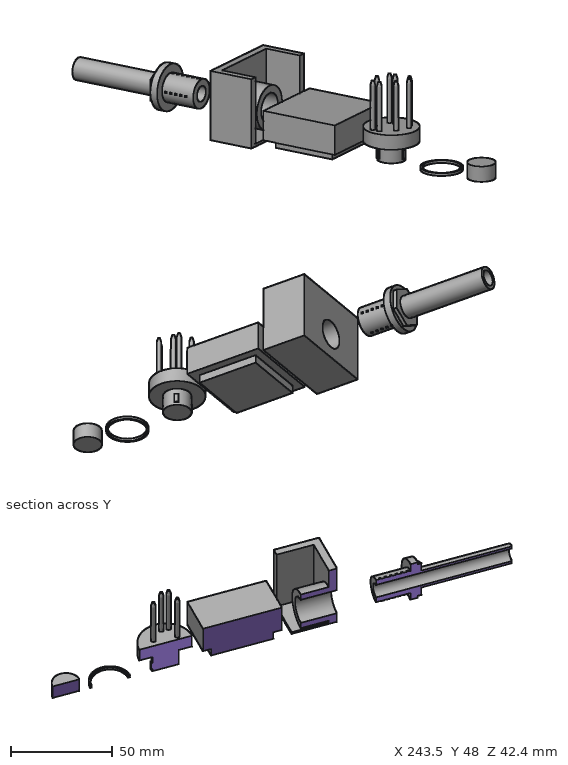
import cadquery as cq
total_length = 243.5
total_height = 42.4
axis_height = 13.6

tube_diameter = 11.7
tube_length = 48.0
bore_diameter = 8.0
hexagon_across_flats = 18.5
hexagon_thickness = 2.0
flange_diameter = 24.0
flange_thickness = 4.0
barrel_diameter = 15.0
barrel_length = 18.3
first_tooth_offset = 0.85
tooth_width = 0.7
tooth_length = 1.0
tooth_height = 0.2
tooth_count = 22
teeth_per_turn = 4
thread_pitch = 3.0

bracket_x = 92.7
bracket_length = 24.0
bracket_width = 48.0
bracket_height = 36.0
end_wall = 4.5
side_wall = 4.0
floor_thickness = 1.5
boss_diameter = 23.0
boss_length = 14.8
bracket_hole_diameter = 15.0

block_x = 122.0
block_size = 41.9
block_height = 15.3
foot_size = 33.0
foot_height = 4.5

base_x = 183.5
base_diameter = 28.0
base_thickness = 7.5
plug_diameter = 14.0
plug_height = 9.5
ear_count = 3
ear_width = 2.2
ear_height = 4.6
ear_bottom = 1.5
ear_projection = 0.7
pin_diameter = 2.5
pin_tip_diameter = 1.2
pin_tip_length = 2.2
pin_offsets = [
    (-4.1, 4.6),
    (-1.0, 4.9),
    (6.5, 6.3),
    (8.3, 3.2),
    (-7.0, -2.2),
    (5.0, -3.7),
    (-5.0, -9.0),
    (-1.2, -9.0),
]

ring_x = 213.0
ring_outer_diameter = 21.2
ring_inner_diameter = 19.2
ring_height = 1.5
disc_diameter = 14.0
disc_height = 8.0
disc_x = total_length - disc_diameter / 2


def cylinder_along_x(start, length, diameter):
    """Solid cylinder on the connector axis."""
    plane = cq.Workplane("YZ", origin=(start, 0, axis_height))
    return plane.circle(diameter / 2).extrude(length)


def box_on(x, y_size, z, length, height):
    """Box that starts at x and z and is centred on Y = 0."""
    return cq.Workplane("XY").box(length, y_size, height, centered=(False, True, False)).translate((x, 0, z))


def upright_cylinder(x, y, z, diameter, height):
    """Solid cylinder that stands at the given height."""
    return cq.Workplane("XY", origin=(x, y, z)).circle(diameter / 2).extrude(height)


def make_connector():
    flange_start = tube_length + hexagon_thickness
    barrel_start = flange_start + flange_thickness
    connector_length = barrel_start + barrel_length

    hexagon = (
        cq.Workplane("YZ", origin=(tube_length, 0, axis_height))
        .polygon(6, hexagon_across_flats, circumscribed=True)
        .extrude(hexagon_thickness)
    )
    body = cylinder_along_x(0, tube_length, tube_diameter).union(hexagon)
    body = body.union(cylinder_along_x(flange_start, flange_thickness, flange_diameter))
    body = body.union(cylinder_along_x(barrel_start, barrel_length, barrel_diameter))

    tooth_reach = barrel_diameter / 2 + tooth_height
    tooth_spacing = thread_pitch / teeth_per_turn
    for index in range(tooth_count):
        tooth_start = barrel_start + first_tooth_offset + index * tooth_spacing - tooth_length / 2
        tooth = box_on(tooth_start, tooth_width, axis_height, tooth_length, tooth_reach)
        angle = (index - 1) * 360 / teeth_per_turn
        body = body.union(tooth.rotate((0, 0, axis_height), (1, 0, axis_height), angle))
    return body.cut(cylinder_along_x(0, connector_length, bore_diameter))


def make_bracket():
    inner_width = bracket_width - 2 * side_wall
    shell = box_on(bracket_x, bracket_width, 0, bracket_length, bracket_height)
    cavity = box_on(
        bracket_x + end_wall,
        inner_width,
        floor_thickness,
        bracket_length - end_wall,
        bracket_height - floor_thickness,
    )
    boss = cylinder_along_x(bracket_x + end_wall, boss_length, boss_diameter)
    hole = cylinder_along_x(bracket_x, end_wall + boss_length, bracket_hole_diameter)
    return shell.cut(cavity).union(boss).cut(hole)


def make_block():
    foot_inset = (block_size - foot_size) / 2
    foot = box_on(block_x + foot_inset, foot_size, 0, foot_size, foot_height)
    return foot.union(box_on(block_x, block_size, foot_height, block_size, block_height))


def make_pin(x_offset, y_offset):
    base_top = plug_height + base_thickness
    shank_top = total_height - pin_tip_length
    x = base_x + x_offset
    shank = upright_cylinder(x, y_offset, base_top, pin_diameter, shank_top - base_top)
    tip = cq.Solid.makeCone(
        pin_diameter / 2, pin_tip_diameter / 2, pin_tip_length, pnt=cq.Vector(x, y_offset, shank_top)
    )
    return shank.union(cq.Workplane(tip))


def make_pin_base():
    body = upright_cylinder(base_x, 0, 0, plug_diameter, plug_height)
    body = body.union(upright_cylinder(base_x, 0, plug_height, base_diameter, base_thickness))
    ear = box_on(base_x, ear_width, ear_bottom, plug_diameter / 2 + ear_projection, ear_height)
    for index in range(ear_count):
        angle = index * 360 / ear_count
        body = body.union(ear.rotate((base_x, 0, 0), (base_x, 0, 1), angle))
    for x_offset, y_offset in pin_offsets:
        body = body.union(make_pin(x_offset, y_offset))
    return body


def make_ring():
    outer = upright_cylinder(ring_x, 0, 0, ring_outer_diameter, ring_height)
    return outer.cut(upright_cylinder(ring_x, 0, 0, ring_inner_diameter, ring_height))


def make_disc():
    return upright_cylinder(disc_x, 0, 0, disc_diameter, disc_height)


connector = make_connector()
bracket = make_bracket()
block = make_block()
pin_base = make_pin_base()
ring = make_ring()
disc = make_disc()

result = cq.Compound.makeCompound([
    connector.val(),
    bracket.val(),
    block.val(),
    pin_base.val(),
    ring.val(),
    disc.val(),
])